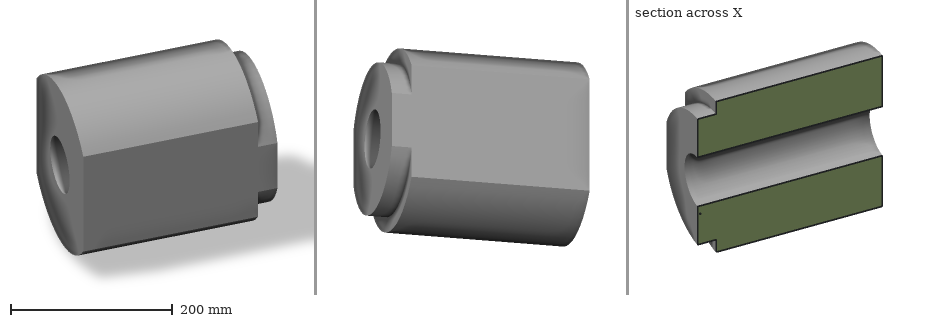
import cadquery as cq

body_diameter = 228.5
body_length = 228.5
boss_diameter = 190.5
boss_length = 25.5
width_across_flats = 177.8
bore_diameter = 73.7

total_length = body_length + boss_length


def cylinder_along_y(diameter, start, length):
    """Cylinder on the Y axis from y = start to y = start + length."""
    plane = cq.Workplane("XZ", origin=(0, start, 0))
    return plane.circle(diameter / 2).extrude(-length)


body = cylinder_along_y(body_diameter, 0, body_length)
boss = cylinder_along_y(boss_diameter, body_length, boss_length)

flats_envelope = cq.Workplane("XY").box(
    width_across_flats, total_length, body_diameter, centered=(True, False, True)
)

bore = cylinder_along_y(bore_diameter, 0, total_length)

result = body.union(boss).intersect(flats_envelope).cut(bore)